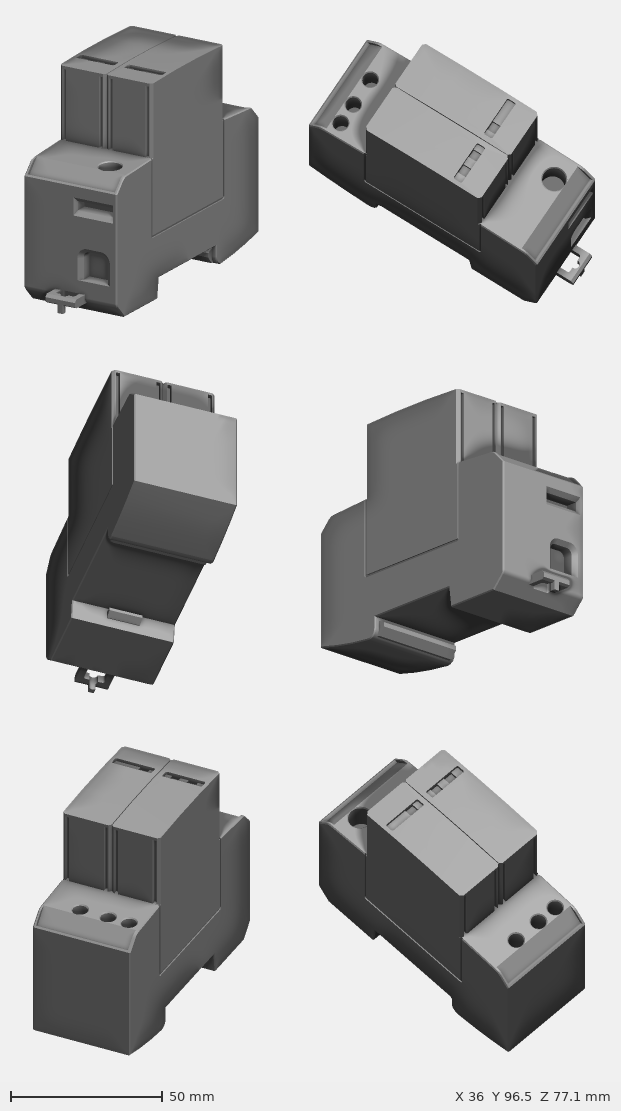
import cadquery as cq
import math

width = 36.0
half_width = width / 2
total_depth = 96.5
total_height = 77.1
body_depth = 90.0
wall = body_depth / 2
latch_tip = wall - total_depth
edge_chamfer = 0.4

shoulder_height = 50.4
top_edge_height = 49.3
top_edge = 40.2
wall_top = 44.4
bevel_radius = 3.9
wall_bottom = 5.0
heel_radius = 2.1
front_foot = -40.1
back_wall_bottom = 4.0
back_underside = (33.0, 1.4)

rail_half = 18.0
rail_top = 7.2
back_toe = (rail_half, -0.2)
back_toe_radius = 3.3
rail_lean = 1.0

facet_half_width = 17.0
facet_top = 38.5
facet_foot = 43.4
facet_foot_height = 44.4
lip = 44.5
lip_height = 45.0

module_front = -22.7
module_back = 22.9
module_middle = (module_front + module_back) / 2
module_chamfer = 1.0
crown_rise = 0.6
crown_edge = total_height - crown_rise
module_gap = 0.3
module_gap_depth = 0.4

joint_depth = 0.5
joint_y = (-23.0, 23.2)
joint_bottom = 22.4
joint_radius = 0.9
plug_y = (-22.4, 22.2)
plug_bottom = 23.3

groove_width = 1.35
groove_depth = 1.4
groove_inset = 1.3
groove_top = total_height - 1.6

window_front = -14.5
window_back = -11.2
window_inner = 1.9
window_outer = 16.6
window_radius = 0.6
shallow_depth = 0.8
deep_depth = 1.7
deep_cells = [(-13.7, -10.3), (-7.2, -4.15), (4.15, 7.5)]

back_hole_xs = [-12.9, -5.2, 5.1]
back_hole_y = 35.6
back_hole_diameter = 5.2
front_hole_x = 9.0
front_hole_y = -34.45
front_hole_diameter = 7.9
hole_depth = 9.65
hole_rim = 0.4

slot_x = (1.3, 16.5)
slot_z = (34.1, 40.4)
slot_side_taper = 0.8
slot_end_taper = 1.5
slot_depth = 5.8
arch_x = (2.8, 15.3)
arch_z = (11.7, 23.2)
arch_radius = 3.7
arch_taper = 1.5
arch_depth = 5.2
mouth_depth = 1.4

hook_half_width = 16.2
hook_reach = 2.3

latch_width = 11.5
latch_bottom = 4.0
latch_top = 7.0
latch_chamfer = 1.0
latch_under_chamfer = 0.6
latch_embed = 5.8
latch_opening_width = 7.2
latch_opening_end = -48.4
latch_opening_back = -43.4
latch_opening_radius = 0.8
latch_notch_width = 2.9
latch_notch_end = -50.0
latch_notch_radius = 1.35
pull_width = 2.0
pull_depth = 2.4
pull_bottom = 1.35
latch_hook_reach = 2.2

top_slope = (shoulder_height - top_edge_height) / (top_edge - module_back)
top_tilt = math.degrees(math.atan(top_slope))


def top_surface(y):
    """Height of the housing's sloping top surface at depth y."""
    return shoulder_height - top_slope * (abs(y) - module_back)


def prism(points, x_start, x_end):
    """Prism along X with a (Y, Z) outline."""
    return cq.Workplane("YZ", origin=(x_start, 0, 0)).polyline(points).close().extrude(x_end - x_start)


def box(x, y, z):
    """Box between pairs of X, Y and Z limits."""
    size = (x[1] - x[0], y[1] - y[0], z[1] - z[0])
    return cq.Workplane("XY").box(*size, centered=False).translate((x[0], y[0], z[0]))


def edge_near(y, z):
    """Selector for the edge along X that passes through (y, z)."""
    reach = 0.1
    return cq.selectors.BoxSelector((-width, y - reach, z - reach), (width, y + reach, z + reach))


def make_housing():
    outline = (
        cq.Workplane("YZ", origin=(-half_width, 0, 0))
        .moveTo(-wall, wall_bottom)
        .lineTo(-wall, wall_top)
        .lineTo(-top_edge, top_edge_height)
        .lineTo(module_front, shoulder_height)
        .lineTo(module_back, shoulder_height)
        .lineTo(top_edge, top_edge_height)
        .lineTo(wall, wall_top)
        .lineTo(wall, back_wall_bottom)
        .threePointArc(back_underside, back_toe)
        .lineTo(rail_half, rail_top)
        .lineTo(-rail_half, rail_top)
        .lineTo(-rail_half - rail_lean, 0)
        .lineTo(front_foot, 0)
        .close()
    )
    housing = outline.extrude(width)
    for side in (-1, 1):
        housing = housing.edges(edge_near(side * top_edge, top_edge_height)).fillet(bevel_radius)
    housing = housing.edges(edge_near(-wall, wall_bottom)).fillet(heel_radius)
    housing = housing.edges(edge_near(*back_toe)).fillet(back_toe_radius)
    return housing.faces("<X or >X").chamfer(edge_chamfer)


def facet_cutter(side):
    """Cutter for the sunken bevel facet at the front (-1) or back (+1)."""
    points = [
        (side * facet_top, top_surface(facet_top)),
        (side * facet_foot, facet_foot_height),
        (side * lip, lip_height),
        (side * wall, shoulder_height),
        (side * facet_top, shoulder_height),
    ]
    return prism(points, -facet_half_width, facet_half_width)


def make_module(side):
    """One module; side is -1 for the left and +1 for the right."""
    module = (
        cq.Workplane("YZ")
        .moveTo(module_front, top_edge_height)
        .lineTo(module_front, crown_edge)
        .threePointArc((module_middle, total_height), (module_back, crown_edge))
        .lineTo(module_back, top_edge_height)
        .close()
        .extrude(half_width)
    )
    module = module.edges("|Z").chamfer(module_chamfer)
    inner = groove_inset
    outer = half_width - groove_inset
    for x in [(inner, inner + groove_width), (outer - groove_width, outer)]:
        for y in [(module_front, module_front + groove_depth), (module_back - groove_depth, module_back)]:
            module = module.cut(box(x, y, (top_surface(module_front), groove_top)))
    window_z = (crown_edge - shallow_depth, total_height)
    window = box((window_inner, window_outer), (window_front, window_back), window_z)
    module = module.cut(window.edges("|Z").fillet(window_radius))
    return module if side > 0 else module.mirror("YZ")


def joint_groove(side):
    """Flat U-shaped groove in one side face, open at the top."""
    x = sorted((side * half_width, side * (half_width - joint_depth)))
    bay = box(x, joint_y, (joint_bottom, shoulder_height)).edges("|X and <Z").fillet(joint_radius)
    return bay.cut(box(x, plug_y, (plug_bottom, shoulder_height)))


def screw_hole(x, y, diameter):
    """Blind hole with a chamfered rim, tilted with the top surface."""
    tilt = math.copysign(top_tilt, -y)
    radius = diameter / 2
    bore = cq.Workplane("XY").circle(radius).extrude(-hole_depth)
    rim = cq.Solid.makeCone(radius, radius + hole_rim, hole_rim, pnt=cq.Vector(0, 0, -hole_rim))
    hole = bore.union(cq.Workplane(rim))
    return hole.rotate((0, 0, 0), (1, 0, 0), tilt).translate((x, y, top_surface(y)))


def arch_wire(y, inset):
    """Arch outline at depth y; only the sides and the top move in by the inset."""
    left = arch_x[0] + inset
    right = arch_x[1] - inset
    top = arch_z[1] - inset
    radius = arch_radius - inset
    diagonal = radius * (1 - math.sqrt(0.5))
    return (
        cq.Workplane("XZ", origin=(0, y, 0))
        .moveTo(left, arch_z[0])
        .lineTo(left, top - radius)
        .threePointArc((left + diagonal, top - diagonal), (left + radius, top))
        .lineTo(right - radius, top)
        .threePointArc((right - diagonal, top - diagonal), (right, top - radius))
        .lineTo(right, arch_z[0])
        .close()
    )


def slot_wire(y, side_inset, end_inset):
    """Rectangular outline at depth y, moved in at the sides and at the top and bottom."""
    left = slot_x[0] + side_inset
    right = slot_x[1] - side_inset
    low = slot_z[0] + end_inset
    high = slot_z[1] - end_inset
    corners = [(left, low), (right, low), (right, high), (left, high)]
    return cq.Workplane("XZ", origin=(0, y, 0)).polyline(corners).close()


def tapered_opening(outer, inner, depth):
    """Cutter with a tapered mouth between two outlines and a straight pocket behind it."""
    mouth = cq.Solid.makeLoft([outer.val(), inner.val()], True)
    return inner.extrude(mouth_depth - depth).union(cq.Workplane(mouth))


def make_rail_hook():
    tip = rail_half - hook_reach
    hook_root = rail_half + back_toe_radius
    points = [
        (hook_root, 0.9),
        (hook_root, 6.2),
        (rail_half, 6.2),
        (tip, 5.1),
        (tip, 3.6),
        (rail_half, 0.9),
    ]
    return prism(points, -hook_half_width, hook_half_width)


def make_latch():
    half = latch_width / 2
    inner_end = latch_embed - wall
    points = [
        (inner_end, latch_bottom),
        (inner_end, latch_top),
        (latch_tip + latch_chamfer, latch_top),
        (latch_tip, latch_top - latch_chamfer),
        (latch_tip, latch_bottom + latch_under_chamfer),
        (latch_tip + latch_chamfer, latch_bottom),
    ]
    pull_z = (pull_bottom, latch_bottom + latch_chamfer)
    pull = box((-pull_width / 2, pull_width / 2), (latch_tip, latch_tip + pull_depth), pull_z)
    return prism(points, -half, half).union(pull)


def latch_opening():
    """Through opening in the latch and the foot of the front wall, with a notch at its outer end."""
    z = (0, latch_top)
    half_opening = latch_opening_width / 2
    half_notch = latch_notch_width / 2
    opening = box((-half_opening, half_opening), (latch_opening_end, latch_opening_back), z)
    notch = box((-half_notch, half_notch), (latch_notch_end, -wall), z)
    notch = notch.edges("|Z and <Y").fillet(latch_notch_radius)
    return opening.edges("|Z").fillet(latch_opening_radius).union(notch)


def make_latch_hook():
    """Nose of the latch that reaches into the rail recess."""
    tip = -rail_half + latch_hook_reach
    root = -rail_half - 2 * rail_lean
    points = [(root, 3.4), (root, 6.0), (-rail_half, 6.0), (tip, 5.7), (tip, 4.5), (-rail_half - 0.3, 3.4)]
    return prism(points, -latch_width / 2, latch_width / 2)


result = make_housing().cut(facet_cutter(-1)).cut(facet_cutter(1))
for side in (-1, 1):
    result = result.cut(joint_groove(side)).union(make_module(side))

gap_x = (-module_gap / 2, module_gap / 2)
result = result.cut(box(gap_x, (module_front, module_back), (crown_edge - module_gap_depth, total_height)))

for cell in deep_cells:
    result = result.cut(box(cell, (window_front, window_back), (crown_edge - deep_depth, crown_edge)))

for hole_x in back_hole_xs:
    result = result.cut(screw_hole(hole_x, back_hole_y, back_hole_diameter))
result = result.cut(screw_hole(front_hole_x, front_hole_y, front_hole_diameter))

mouth_floor = -wall + mouth_depth
slot = tapered_opening(
    slot_wire(-wall, 0, 0), slot_wire(mouth_floor, slot_side_taper, slot_end_taper), slot_depth
)
arch = tapered_opening(arch_wire(-wall, 0), arch_wire(mouth_floor, arch_taper), arch_depth)
result = result.cut(slot).cut(arch)

result = result.union(make_rail_hook()).union(make_latch()).union(make_latch_hook())
result = result.cut(latch_opening())